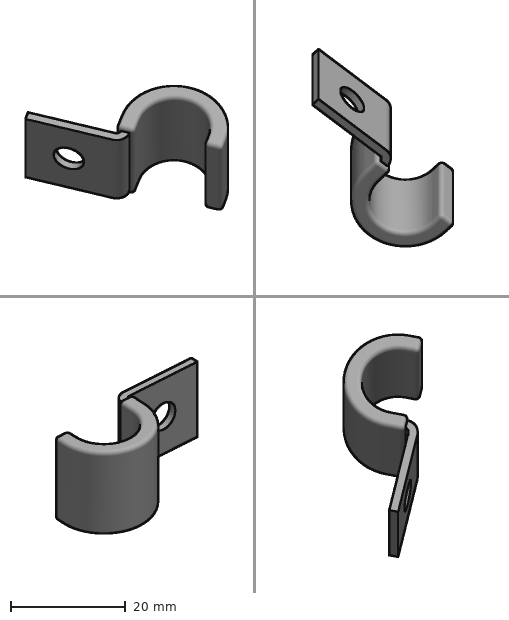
import cadquery as cq

total_length = 34.85
total_depth = 15.0
strap_thickness = 1.6
strap_height = 15.85
cushion_thickness = 0.8
clip_radius = 9.48
long_leg = 3.2
short_leg = 2.4
hole_diameter = 5.5
overlap = 0.35

clip_thickness = strap_thickness + 2 * cushion_thickness
clip_height = strap_height + 2 * cushion_thickness
inner_radius = clip_radius - clip_thickness
center_x = total_length - clip_radius
center_y = total_depth - clip_radius
clip_left = center_x - clip_radius
long_leg_end = center_y - long_leg
short_leg_end = center_y - short_leg
bend_inner = cushion_thickness
bend_outer = bend_inner + strap_thickness


def make_clip():
    """U-shaped cushioned clip with every edge rounded."""
    return (
        cq.Workplane("XY")
        .moveTo(clip_left, long_leg_end)
        .lineTo(clip_left, center_y)
        .threePointArc((center_x, total_depth), (total_length, center_y))
        .lineTo(total_length, short_leg_end)
        .lineTo(center_x + inner_radius, short_leg_end)
        .lineTo(center_x + inner_radius, center_y)
        .threePointArc((center_x, center_y + inner_radius), (center_x - inner_radius, center_y))
        .lineTo(center_x - inner_radius, long_leg_end)
        .close()
        .extrude(clip_height / 2, both=True)
        .edges()
        .fillet(cushion_thickness)
    )


def make_strap():
    """Flat mounting tab that bends up into the long leg of the clip."""
    strap_top = long_leg_end + cushion_thickness + overlap
    return (
        cq.Workplane("XY")
        .lineTo(clip_left, 0)
        .radiusArc((clip_left + bend_outer, bend_outer), -bend_outer)
        .lineTo(clip_left + bend_outer, strap_top)
        .lineTo(clip_left + bend_inner, strap_top)
        .lineTo(clip_left + bend_inner, bend_outer)
        .radiusArc((clip_left, strap_thickness), bend_inner)
        .lineTo(0, strap_thickness)
        .close()
        .extrude(strap_height / 2, both=True)
    )


def make_screw_hole():
    """Through hole equally far from the tab's top, bottom and free end."""
    return (
        cq.Workplane("XZ")
        .center(strap_height / 2, 0)
        .circle(hole_diameter / 2)
        .extrude(-strap_thickness)
    )


result = make_clip().union(make_strap()).cut(make_screw_hole())